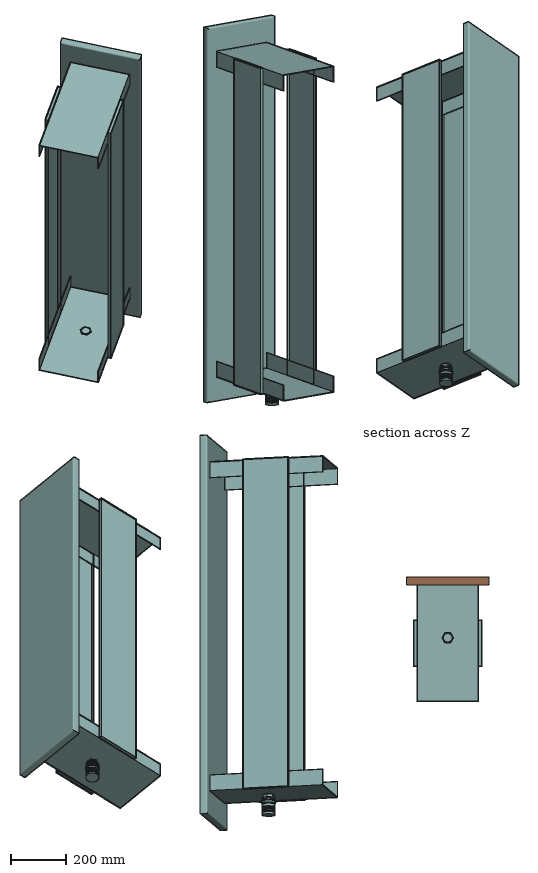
import cadquery as cq

HEIGHT = 1400.0
PANEL_WIDTH = 300.0
PANEL_THICKNESS = 30.0
PANEL_EDGE_RADIUS = 5.0
FRAME_DEPTH = 420.0
FRAME_HEIGHT = 1220.0
BEND_RADIUS = 3.0
SHEET = 3.0

CHANNEL_WIDTH = 224.0
CHANNEL_FLANGE = 60.0

TRAY_WIDTH = 170.0
TRAY_DEPTH = 13.0

SPIGOT_Y = 230.0
STUB_DIAMETER = 32.0
HEX_ACROSS_CORNERS = 42.0
HEX_BOTTOM = 78.0
BODY_RADIUS = 24.0
BODY_BOTTOM = 15.0
COLLAR_RADIUS = 25.0
COLLAR_BOTTOM = 59.0
COLLAR_TOP = 66.0
GROOVE_DEPTH = 1.0
GROOVE_WIDTH = 4.0
GROOVE_BOTTOMS = (24.0, 32.0, 40.0, 55.0, 69.0)

frame_bottom = (HEIGHT - FRAME_HEIGHT) / 2
frame_top = frame_bottom + FRAME_HEIGHT


def box(width, depth, height, x, y, z):
    """Box centred on x, starting at the given y and z."""
    return cq.Workplane("XY").box(width, depth, height, centered=(True, False, False)).translate((x, y, z))


def make_panel():
    """Back panel with its long edges and ends rounded."""
    panel = box(PANEL_WIDTH, PANEL_THICKNESS, HEIGHT, 0, FRAME_DEPTH, 0)
    return panel.edges("|X or |Z").fillet(PANEL_EDGE_RADIUS)


def make_bottom_channel():
    """U-shaped channel opening upward."""
    outer = box(CHANNEL_WIDTH, FRAME_DEPTH, CHANNEL_FLANGE, 0, 0, frame_bottom)
    inner = box(CHANNEL_WIDTH - 2 * SHEET, FRAME_DEPTH, CHANNEL_FLANGE, 0, 0, frame_bottom + SHEET)
    channel = outer.cut(inner)
    return channel.edges("|Y and <Z").fillet(BEND_RADIUS)


def make_top_channel():
    """Bottom channel turned over at the top of the frame."""
    return make_bottom_channel().mirror("XY", (0, 0, HEIGHT / 2))


def drill_drain(channel):
    """Hole in the channel floor that takes the spigot stub."""
    hole = (
        cq.Workplane("XY", origin=(0, SPIGOT_Y, frame_bottom))
        .circle(STUB_DIAMETER / 2)
        .extrude(SHEET)
    )
    return channel.cut(hole)


def make_side_tray(side):
    """Shallow tray against one side of the channels, open toward the middle; side is -1 or 1."""
    x = side * (CHANNEL_WIDTH + TRAY_DEPTH) / 2
    y = (FRAME_DEPTH - TRAY_WIDTH) / 2
    tray_height = frame_top - frame_bottom
    outer = box(TRAY_DEPTH, TRAY_WIDTH, tray_height, x, y, frame_bottom)
    inner = box(TRAY_DEPTH, TRAY_WIDTH - 2 * SHEET, tray_height - 2 * SHEET,
                x - side * SHEET, y + SHEET, frame_bottom + SHEET)
    return outer.cut(inner)


def spigot_cylinder(radius, bottom, top):
    """Upright cylinder on the spigot axis."""
    return cq.Workplane("XY", origin=(0, SPIGOT_Y, bottom)).circle(radius).extrude(top - bottom)


def make_spigot():
    """Grooved body with a collar, a hexagonal neck and a stub flush with the channel floor."""
    spigot = spigot_cylinder(BODY_RADIUS, BODY_BOTTOM, HEX_BOTTOM)
    for bottom in GROOVE_BOTTOMS:
        ring = spigot_cylinder(BODY_RADIUS, bottom, bottom + GROOVE_WIDTH)
        core = spigot_cylinder(BODY_RADIUS - GROOVE_DEPTH, bottom, bottom + GROOVE_WIDTH)
        spigot = spigot.cut(ring.cut(core))
    spigot = spigot.union(spigot_cylinder(COLLAR_RADIUS, COLLAR_BOTTOM, COLLAR_TOP))
    hexagon = (
        cq.Workplane("XY", origin=(0, SPIGOT_Y, HEX_BOTTOM))
        .polygon(6, HEX_ACROSS_CORNERS)
        .extrude(frame_bottom - HEX_BOTTOM)
    )
    stub = spigot_cylinder(STUB_DIAMETER / 2, HEX_BOTTOM, frame_bottom + SHEET)
    return spigot.union(hexagon).union(stub)


panel = make_panel()
top_channel = make_top_channel()
bottom_channel = drill_drain(make_bottom_channel())
side_trays = [make_side_tray(side) for side in (-1, 1)]
spigot = make_spigot()

result = cq.Compound.makeCompound([
    panel.val(),
    top_channel.val(),
    bottom_channel.val(),
    *[tray.val() for tray in side_trays],
    spigot.val(),
])